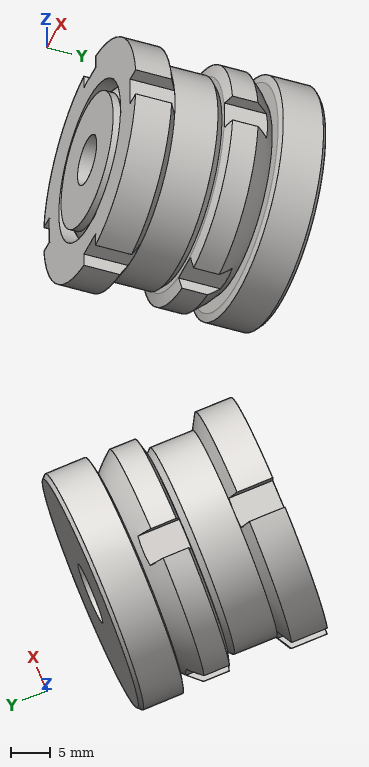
import cadquery as cq
import math


SLOT_COUNT = 4
SLOT_WIDTH = 4.05

BASE_FRONT_Y = 0.35
BASE_RIM_LENGTH = 4.85
BASE_CONE_LENGTH = 1.2
BASE_BACK_Y = 13.0
BASE_RADIUS = 16.0
SLEEVE_RADIUS = 14.0
SLEEVE_CHAMFER = 0.85
RECESS_RADIUS = 10.65
RECESS_DEPTH = 4.0

SHANK_RADIUS = 10.05
SHANK_TIP_RADIUS = 9.0
SHANK_TIP_LENGTH = 1.05
SHANK_CHAMFER = SHANK_RADIUS - SHANK_TIP_RADIUS
BORE_RADIUS = 3.3
FLANGE_RADIUS = 15.7
FLANGE_BEVEL_LENGTH = 0.48
FLANGE_RIM_LENGTH = 3.43
SPINDLE_TURN = 0.46

BALL_RADIUS = 20.0

WASHER_RADIUS = 16.0
WASHER_FRONT_Y = 19.8
WASHER_BACK_Y = 25.98
WASHER_HOLE_RADIUS = 4.0
WASHER_BEVEL_WIDTH = 1.1
WASHER_BEVEL_LENGTH = 0.25
WASHER_BACK_CHAMFER = 0.5
WASHER_TILT = 0.62
TILT_DIRECTION = 45

FLANGE_RIM_Y = BASE_BACK_Y + FLANGE_BEVEL_LENGTH
FLANGE_BACK_Y = FLANGE_RIM_Y + FLANGE_RIM_LENGTH
BALL_CENTER_Y = FLANGE_BACK_Y - math.sqrt(BALL_RADIUS**2 - FLANGE_RADIUS**2)
SEAT_RADIUS = math.sqrt(BALL_RADIUS**2 - (WASHER_FRONT_Y - BALL_CENTER_Y) ** 2)

Y_AXIS = ((0, 0, 0), (0, 1, 0))


def ball_point(radius):
    """Profile point on the back of the ball at this distance from the axis."""
    return (-radius, BALL_CENTER_Y + math.sqrt(BALL_RADIUS**2 - radius**2))


def revolve_about_y(profile):
    """Revolve a closed XY profile, drawn on the -X side, about the Y axis."""
    return profile.close().revolve(360, *Y_AXIS)


def cut_slots(body, front_y, back_y):
    """Cut equally spaced rim slots whose flat floors lie at the sleeve radius."""
    depth = BASE_RADIUS
    slot = cq.Workplane("XY").box(SLOT_WIDTH, back_y - front_y, depth)
    slot = slot.translate((0, (front_y + back_y) / 2, SLEEVE_RADIUS + depth / 2))
    for i in range(SLOT_COUNT):
        body = body.cut(slot.rotate(*Y_AXIS, i * 360 / SLOT_COUNT))
    return body


def make_base():
    rim_y = BASE_FRONT_Y + BASE_RIM_LENGTH
    recess_y = BASE_FRONT_Y + RECESS_DEPTH
    profile = (
        cq.Workplane("XY")
        .moveTo(-RECESS_RADIUS, BASE_FRONT_Y)
        .lineTo(-BASE_RADIUS, BASE_FRONT_Y)
        .lineTo(-BASE_RADIUS, rim_y)
        .lineTo(-SLEEVE_RADIUS, rim_y + BASE_CONE_LENGTH)
        .lineTo(-SLEEVE_RADIUS, BASE_BACK_Y - SLEEVE_CHAMFER)
        .lineTo(-SLEEVE_RADIUS + SLEEVE_CHAMFER, BASE_BACK_Y)
        .lineTo(-SHANK_RADIUS, BASE_BACK_Y)
        .lineTo(-SHANK_RADIUS, recess_y)
        .lineTo(-RECESS_RADIUS, recess_y)
    )
    return cut_slots(revolve_about_y(profile), BASE_FRONT_Y, rim_y + BASE_CONE_LENGTH)


def make_spindle():
    profile = (
        cq.Workplane("XY")
        .moveTo(-BORE_RADIUS, 0)
        .lineTo(-SHANK_TIP_RADIUS, 0)
        .lineTo(-SHANK_TIP_RADIUS, SHANK_TIP_LENGTH)
        .lineTo(-SHANK_RADIUS, SHANK_TIP_LENGTH + SHANK_CHAMFER)
        .lineTo(-SHANK_RADIUS, BASE_BACK_Y)
        .lineTo(-SLEEVE_RADIUS, BASE_BACK_Y)
        .lineTo(-FLANGE_RADIUS, FLANGE_RIM_Y)
        .lineTo(-FLANGE_RADIUS, FLANGE_BACK_Y)
        .threePointArc(ball_point((FLANGE_RADIUS + BORE_RADIUS) / 2), ball_point(BORE_RADIUS))
    )
    spindle = cut_slots(revolve_about_y(profile), BASE_BACK_Y, WASHER_FRONT_Y)
    return spindle.rotate(*Y_AXIS, -SPINDLE_TURN)


def make_washer():
    profile = (
        cq.Workplane("XY")
        .moveTo(-SEAT_RADIUS, WASHER_FRONT_Y)
        .lineTo(-WASHER_RADIUS + WASHER_BEVEL_WIDTH, WASHER_FRONT_Y)
        .lineTo(-WASHER_RADIUS, WASHER_FRONT_Y + WASHER_BEVEL_LENGTH)
        .lineTo(-WASHER_RADIUS, WASHER_BACK_Y - WASHER_BACK_CHAMFER)
        .lineTo(-WASHER_RADIUS + WASHER_BACK_CHAMFER, WASHER_BACK_Y)
        .lineTo(-WASHER_HOLE_RADIUS, WASHER_BACK_Y)
        .lineTo(*ball_point(WASHER_HOLE_RADIUS))
        .threePointArc(ball_point((SEAT_RADIUS + WASHER_HOLE_RADIUS) / 2), ball_point(SEAT_RADIUS))
    )
    tilted = revolve_about_y(profile).rotate((0, BALL_CENTER_Y, 0), (0, BALL_CENTER_Y, 1), WASHER_TILT)
    return tilted.rotate(*Y_AXIS, TILT_DIRECTION)


base = make_base()
spindle = make_spindle()
washer = make_washer()

result = cq.Compound.makeCompound([base.val(), spindle.val(), washer.val()])